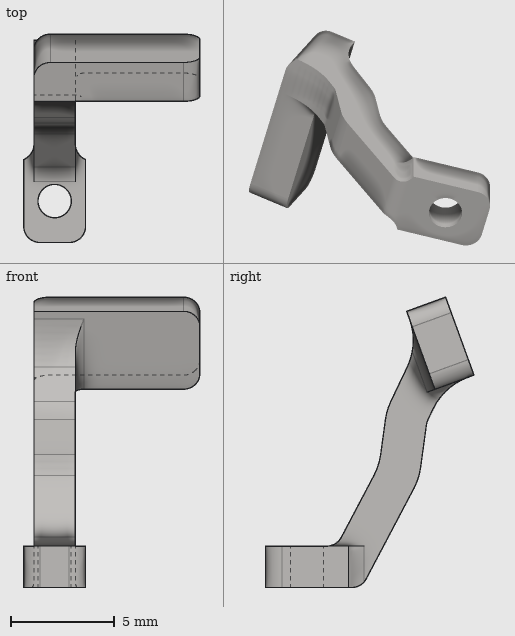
import cadquery as cq
import math

FOOT_WIDTH = 3.0
FOOT_HEIGHT = 2.0
FOOT_SIDE_LENGTH = 4.0
HOLE_DIAMETER = 1.6
HOLE_Y = 2.0
CORNER_RADIUS = 0.8

ARM_WIDTH = 2.0
ARM_THICKNESS = 2.0
ARM_LEFT = (FOOT_WIDTH - ARM_WIDTH) / 2
ARM_RIGHT = ARM_LEFT + ARM_WIDTH
UPPER_LEAN = 25.5
LOWER_BEND = (5.47, 5.88)
UPPER_BEND = (5.84, 8.55)
FOOT_JOINT = (3.43, FOOT_HEIGHT)
BEND_RADIUS = 3.0
UPPER_BACK_RADIUS = BEND_RADIUS - ARM_THICKNESS

TOTAL_WIDTH = 8.5
TOTAL_DEPTH = 10.05
TOTAL_HEIGHT = 14
HEAD_TILT = 20
HEAD_LENGTH = 4.0
HEAD_THICKNESS = 2.0
HEAD_WIDTH = TOTAL_WIDTH - ARM_LEFT
HEAD_FILLET = 0.4


def move(point, direction, distance):
    """Shift a 2D point along a unit direction."""
    return (point[0] + direction[0] * distance, point[1] + direction[1] * distance)


def direction_between(start, end):
    """Unit direction from one 2D point to another."""
    length = math.dist(start, end)
    return ((end[0] - start[0]) / length, (end[1] - start[1]) / length)


def cross(a, b):
    return a[0] * b[1] - a[1] * b[0]


def meet(point_a, direction_a, point_b, direction_b):
    """Intersection of two 2D lines."""
    gap = (point_b[0] - point_a[0], point_b[1] - point_a[1])
    return move(point_a, direction_a, cross(gap, direction_b) / cross(direction_a, direction_b))


def lean(degrees):
    """Unit YZ direction rising at an angle from vertical, positive toward +Y."""
    angle = math.radians(degrees)
    return (math.sin(angle), math.cos(angle))


def back_point(front_point, direction):
    """Point on the rear face of an arm segment, opposite a point on its front face."""
    return move(front_point, (direction[1], -direction[0]), ARM_THICKNESS)


def rounded_outline(corners):
    """Closed YZ outline from (point, radius) corners; radius 0 keeps a corner sharp."""
    outline = None
    for index, (point, radius) in enumerate(corners):
        to_previous = direction_between(point, corners[index - 1][0])
        to_next = direction_between(point, corners[(index + 1) % len(corners)][0])
        cosine = to_previous[0] * to_next[0] + to_previous[1] * to_next[1]
        half_angle = math.acos(cosine) / 2
        setback = radius / math.tan(half_angle)
        arc_start = move(point, to_previous, setback)
        if outline is None:
            outline = cq.Workplane("YZ").moveTo(*arc_start)
        else:
            outline = outline.lineTo(*arc_start)
        if radius > 0:
            bisector = direction_between((0, 0), (to_previous[0] + to_next[0], to_previous[1] + to_next[1]))
            arc_middle = move(point, bisector, radius / math.sin(half_angle) - radius)
            outline = outline.threePointArc(arc_middle, move(point, to_next, setback))
    return outline.close()


head_up = lean(-HEAD_TILT)
head_back = (head_up[1], -head_up[0])
head_top_back = (TOTAL_DEPTH + HEAD_LENGTH * head_up[0], TOTAL_HEIGHT)
head_bottom_back = move(head_top_back, head_up, -HEAD_LENGTH)
head_top_front = move(head_top_back, head_back, -HEAD_THICKNESS)
head_bottom_front = move(head_bottom_back, head_back, -HEAD_THICKNESS)

lower_run = direction_between(FOOT_JOINT, LOWER_BEND)
middle_run = direction_between(LOWER_BEND, UPPER_BEND)
upper_run = lean(UPPER_LEAN)
front_neck = meet(UPPER_BEND, upper_run, head_top_front, head_up)
lower_back = back_point(LOWER_BEND, lower_run)
middle_back = back_point(LOWER_BEND, middle_run)
upper_back = back_point(UPPER_BEND, upper_run)
heel = meet(lower_back, lower_run, (0, 0), (1, 0))
lower_back_bend = meet(lower_back, lower_run, middle_back, middle_run)
upper_back_bend = meet(middle_back, middle_run, upper_back, upper_run)
back_neck = meet(upper_back, upper_run, head_bottom_back, head_back)


def arm_strip(left, right):
    """Side profile of foot, arm and head, extruded between two X positions."""
    corners = [
        (head_top_front, 0),
        (front_neck, BEND_RADIUS),
        (UPPER_BEND, BEND_RADIUS),
        (LOWER_BEND, BEND_RADIUS),
        (FOOT_JOINT, CORNER_RADIUS),
        ((HOLE_Y + HOLE_DIAMETER / 2, FOOT_HEIGHT), 0),
        ((HOLE_Y + HOLE_DIAMETER / 2, 0), 0),
        (heel, CORNER_RADIUS),
        (lower_back_bend, BEND_RADIUS),
        (upper_back_bend, UPPER_BACK_RADIUS),
        (back_neck, BEND_RADIUS),
        (head_bottom_back, 0),
        (head_top_back, 0),
    ]
    return rounded_outline(corners).extrude(right - left).translate((left, 0, 0))


def make_foot():
    """Pad with rounded front corners and concave blends into the sides of the arm."""
    pad = cq.Workplane("XY").box(FOOT_WIDTH, FOOT_SIDE_LENGTH, FOOT_HEIGHT, centered=False)
    pad = pad.edges("|Z and <Y").fillet(CORNER_RADIUS)
    side_rise = CORNER_RADIUS - ARM_LEFT
    blend_length = math.sqrt(CORNER_RADIUS**2 - side_rise**2)
    blend_end = FOOT_SIDE_LENGTH + blend_length
    blend_block = cq.Workplane("XY").box(FOOT_WIDTH, blend_length, FOOT_HEIGHT, centered=False)
    blend_block = blend_block.translate((0, FOOT_SIDE_LENGTH, 0))
    for center_x in (ARM_LEFT - CORNER_RADIUS, ARM_RIGHT + CORNER_RADIUS):
        relief = cq.Workplane("XY").center(center_x, blend_end).circle(CORNER_RADIUS).extrude(FOOT_HEIGHT)
        blend_block = blend_block.cut(relief)
    return pad.union(blend_block.intersect(arm_strip(0, FOOT_WIDTH)))


def on_head(shape):
    """Place a shape built upright on the origin at the lower front edge of the head."""
    tilted = shape.rotate((0, 0, 0), (1, 0, 0), HEAD_TILT)
    return tilted.translate((ARM_LEFT, head_bottom_front[0], head_bottom_front[1]))


def make_head():
    """Plate with a rounded rear left edge and rounded corners at its free end."""
    plate = cq.Workplane("XY").box(HEAD_WIDTH, HEAD_THICKNESS, HEAD_LENGTH, centered=False)
    plate = plate.edges("|Z and <X and >Y").fillet(CORNER_RADIUS)
    plate = plate.edges("|Y and >X").fillet(CORNER_RADIUS)
    return on_head(plate)


def make_head_fillet():
    """Concave fillet between the front of the head and the right side of the arm."""
    block = cq.Workplane("XY").box(HEAD_FILLET, HEAD_FILLET, HEAD_LENGTH, centered=False)
    block = block.translate((ARM_WIDTH, -HEAD_FILLET, 0))
    relief = cq.Workplane("XY").center(ARM_WIDTH + HEAD_FILLET, -HEAD_FILLET)
    relief = relief.circle(HEAD_FILLET).extrude(HEAD_LENGTH)
    return on_head(block.cut(relief)).intersect(arm_strip(ARM_LEFT, ARM_RIGHT + HEAD_FILLET))


def make_arm():
    """Arm strip with its rear left edge rounded flush with the head."""
    arm = arm_strip(ARM_LEFT, ARM_RIGHT)
    corner = cq.Workplane("XY").box(CORNER_RADIUS, CORNER_RADIUS, HEAD_LENGTH, centered=False)
    corner = corner.translate((0, HEAD_THICKNESS - CORNER_RADIUS, 0))
    rounding = cq.Workplane("XY").center(CORNER_RADIUS, HEAD_THICKNESS - CORNER_RADIUS)
    rounding = rounding.circle(CORNER_RADIUS).extrude(HEAD_LENGTH)
    return arm.cut(on_head(corner.cut(rounding)))


hole = cq.Workplane("XY").center(FOOT_WIDTH / 2, HOLE_Y).circle(HOLE_DIAMETER / 2).extrude(FOOT_HEIGHT)
result = make_arm().union(make_foot()).union(make_head()).union(make_head_fillet()).cut(hole)